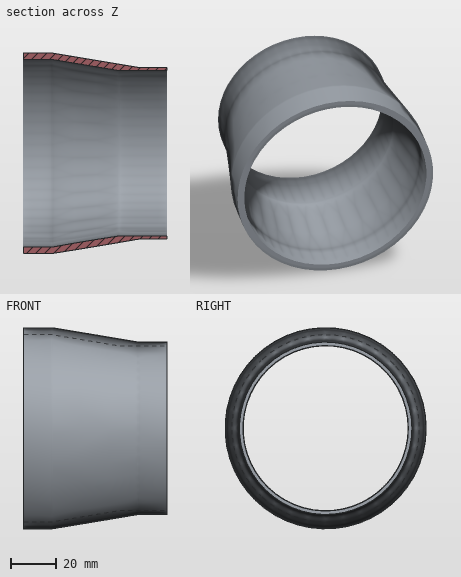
import cadquery as cq
import math

length = 63.5
large_outer_diameter = 88.9
large_inner_diameter = 82.8
small_outer_diameter = 76.2
small_inner_diameter = 72.9
end_length = 12.7
small_bore_length = 21.2
blend_radius = 6.0

taper_start = end_length
outer_taper_end = length - end_length
bore_taper_end = length - small_bore_length


def revolved_body(large_diameter, small_diameter, taper_end):
    """Solid of revolution about X: cylinder, rounded corner, cone, rounded corner, cylinder."""
    large_radius = large_diameter / 2
    small_radius = small_diameter / 2
    taper_angle = math.atan2(large_radius - small_radius, taper_end - taper_start)
    tangent_length = blend_radius * math.tan(taper_angle / 2)
    along = tangent_length * math.cos(taper_angle)
    across = tangent_length * math.sin(taper_angle)
    middle_along = blend_radius * math.sin(taper_angle / 2)
    middle_across = blend_radius * (1 - math.cos(taper_angle / 2))

    large_arc_start = taper_start - tangent_length
    small_arc_end = taper_end + tangent_length
    profile = (
        cq.Workplane("XY")
        .lineTo(0, large_radius)
        .lineTo(large_arc_start, large_radius)
        .threePointArc(
            (large_arc_start + middle_along, large_radius - middle_across),
            (taper_start + along, large_radius - across),
        )
        .lineTo(taper_end - along, small_radius + across)
        .threePointArc(
            (small_arc_end - middle_along, small_radius + middle_across),
            (small_arc_end, small_radius),
        )
        .lineTo(length, small_radius)
        .lineTo(length, 0)
        .close()
    )
    return profile.revolve(360, (0, 0, 0), (1, 0, 0))


outer_body = revolved_body(large_outer_diameter, small_outer_diameter, outer_taper_end)
bore = revolved_body(large_inner_diameter, small_inner_diameter, bore_taper_end)
result = outer_body.cut(bore)